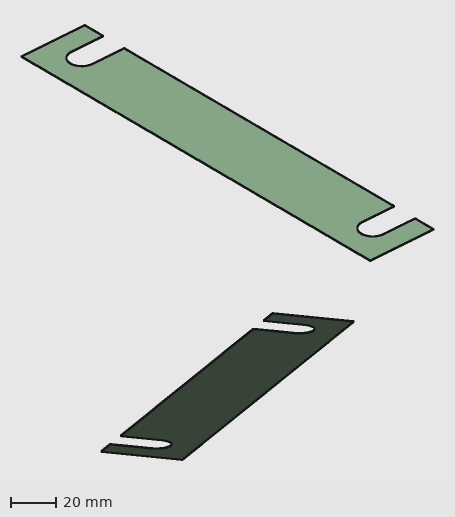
import cadquery as cq

length = 228.5
width = 38.2
thickness = 0.4

slot_width = 13.7
slot_margin = 12.1

slot_radius = slot_width / 2
slot_x = length / 2 - slot_margin - slot_radius
arc_center_y = -width / 2 + slot_margin + slot_radius
slot_top_y = width / 2


def slot_cutter(x):
    """Round-bottomed slot that opens through the +Y edge."""
    return (
        cq.Workplane("XY")
        .moveTo(x - slot_radius, slot_top_y)
        .lineTo(x - slot_radius, arc_center_y)
        .threePointArc((x, arc_center_y - slot_radius), (x + slot_radius, arc_center_y))
        .lineTo(x + slot_radius, slot_top_y)
        .close()
        .extrude(thickness)
    )


result = cq.Workplane("XY").box(length, width, thickness, centered=(True, True, False))
for x in (-slot_x, slot_x):
    result = result.cut(slot_cutter(x))